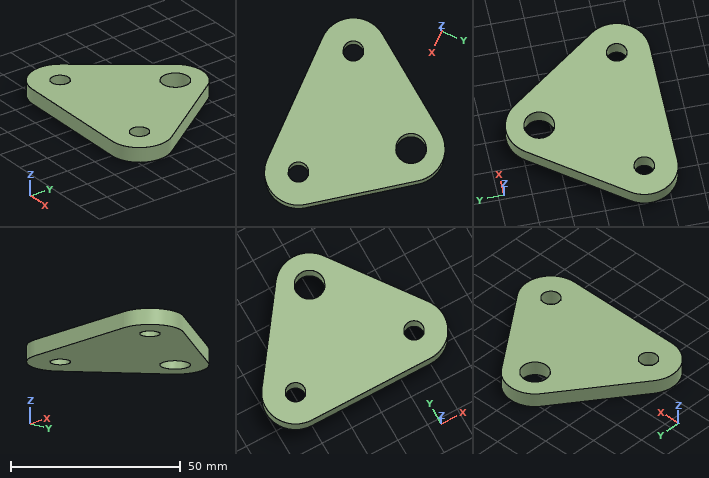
import cadquery as cq
import math

length = 60.0
thickness = 5.0
corner_radius = 10.0
apex_rise = 27.5
base_hole_diameter = 6.0
apex_hole_diameter = 9.0

half_spacing = length / 2 - corner_radius
base_centers = [(-half_spacing, 0), (half_spacing, 0)]
apex_center = (0, apex_rise)

side_length = math.hypot(half_spacing, apex_rise)
tangent_x = corner_radius * apex_rise / side_length
tangent_y = corner_radius * half_spacing / side_length


def make_plate():
    """Triangular plate with three rounded corners joined by tangent sides."""
    base_tangent_x = half_spacing + tangent_x
    apex_tangent_y = apex_rise + tangent_y
    mid_angle = (math.atan2(tangent_y, tangent_x) - math.pi / 2) / 2
    arc_mid_x = half_spacing + corner_radius * math.cos(mid_angle)
    arc_mid_y = corner_radius * math.sin(mid_angle)
    return (
        cq.Workplane("XY")
        .moveTo(-half_spacing, -corner_radius)
        .lineTo(half_spacing, -corner_radius)
        .threePointArc((arc_mid_x, arc_mid_y), (base_tangent_x, tangent_y))
        .lineTo(tangent_x, apex_tangent_y)
        .threePointArc((0, apex_rise + corner_radius), (-tangent_x, apex_tangent_y))
        .lineTo(-base_tangent_x, tangent_y)
        .threePointArc((-arc_mid_x, arc_mid_y), (-half_spacing, -corner_radius))
        .close()
        .extrude(thickness)
    )


def drill(plate, centers, diameter):
    """Cut through holes of one diameter at the given centres."""
    cutters = cq.Workplane("XY").pushPoints(centers).circle(diameter / 2).extrude(thickness)
    return plate.cut(cutters)


result = make_plate()
result = drill(result, base_centers, base_hole_diameter)
result = drill(result, [apex_center], apex_hole_diameter)